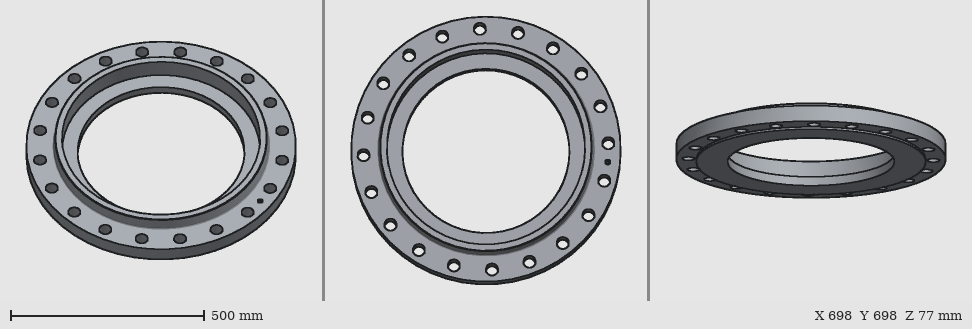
import cadquery as cq
import math

flange_diameter = 698.0
flange_thickness = 42.0

face_diameter = 595.0
face_height = 6.0

hub_base_diameter = 558.5
hub_top_diameter = 549.0
hub_height = 29.0
hub_edge_chamfer = 1.5
hub_base_fillet = 1.5

bore_diameter = 432.0
counterbore_diameter = 513.0
counterbore_floor = 24.0

bolt_circle_diameter = 635.0
bolt_hole_diameter = 31.5
bolt_count = 20

dimple_mouth_diameter = 13.0
dimple_floor_diameter = 7.0
dimple_depth = 2.0

flange_top = face_height + flange_thickness
total_height = flange_top + hub_height
bolt_circle_radius = bolt_circle_diameter / 2
bolt_pitch_angle = 360 / bolt_count


def ring_body():
    """Revolve the half section of the flange, hub and stepped bore about Z, then round the hub base."""
    section = [
        (bore_diameter / 2, 0),
        (face_diameter / 2, 0),
        (face_diameter / 2, face_height),
        (flange_diameter / 2, face_height),
        (flange_diameter / 2, flange_top),
        (hub_base_diameter / 2, flange_top),
        (hub_top_diameter / 2, total_height - hub_edge_chamfer),
        (hub_top_diameter / 2 - hub_edge_chamfer, total_height),
        (counterbore_diameter / 2, total_height),
        (counterbore_diameter / 2, counterbore_floor),
        (bore_diameter / 2, counterbore_floor),
    ]
    body = cq.Workplane("XZ").polyline(section).close().revolve(360, (0, 0), (0, 1))
    hub_base_edge = body.edges("%CIRCLE").filter(
        lambda edge: math.isclose(edge.radius(), hub_base_diameter / 2)
    )
    return hub_base_edge.fillet(hub_base_fillet)


def bolt_holes():
    """Through holes evenly spaced on the bolt circle, the first on the X axis."""
    return (
        cq.Workplane("XY")
        .polarArray(bolt_circle_radius, 0, 360, bolt_count)
        .circle(bolt_hole_diameter / 2)
        .extrude(flange_top)
    )


def dimple():
    """Tapered dimple in the top of the plate, half a pitch past the first bolt hole."""
    angle = math.radians(bolt_pitch_angle / 2)
    center_x = bolt_circle_radius * math.cos(angle)
    center_y = bolt_circle_radius * math.sin(angle)
    return (
        cq.Workplane("XY", origin=(center_x, center_y, flange_top - dimple_depth))
        .circle(dimple_floor_diameter / 2)
        .workplane(offset=dimple_depth)
        .circle(dimple_mouth_diameter / 2)
        .loft(ruled=True)
    )


result = ring_body().cut(bolt_holes()).cut(dimple())